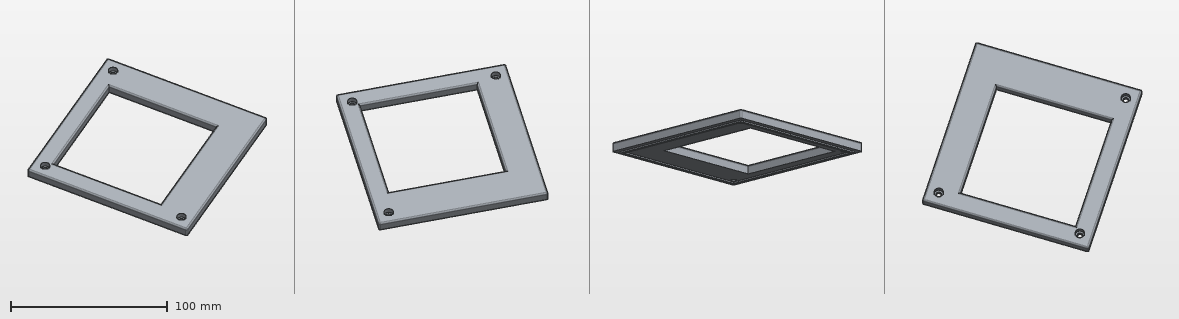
import cadquery as cq

length = 114.5
width = 111.0
height = 7.0

lip_height = 1.0
lip_inset = 3.4
lip_thickness = 2.0

edge_radius = 1.0

window_size = 77.0
window_left = 12.4
window_front = 12.5

hole_diameter = 3.4
counterbore_diameter = 6.0
counterbore_depth = 3.4
hole_inset = 8.4

window_center = (
    window_left + window_size / 2 - length / 2,
    window_front + window_size / 2 - width / 2,
)
hole_x = length / 2 - hole_inset
hole_y = width / 2 - hole_inset
hole_centers = [(-hole_x, -hole_y), (hole_x, -hole_y), (-hole_x, hole_y)]


def make_plate():
    """Plate with rounded vertical and top edges."""
    plate = cq.Workplane("XY").workplane(offset=lip_height)
    plate = plate.rect(length, width).extrude(height - lip_height)
    return plate.edges("|Z or >Z").fillet(edge_radius)


def make_lip():
    """Shallow rectangular rim under the plate, open in the middle."""
    outer_length = length - 2 * lip_inset
    outer_width = width - 2 * lip_inset
    return (
        cq.Workplane("XY")
        .rect(outer_length, outer_width)
        .rect(outer_length - 2 * lip_thickness, outer_width - 2 * lip_thickness)
        .extrude(lip_height)
    )


def cut_window(plate):
    """Cut the square window and round its top edges."""
    opening = cq.Workplane("XY").center(*window_center).rect(window_size, window_size).extrude(height)
    framed = plate.cut(opening)
    window_edges = framed.faces(">Z").val().innerWires()[0].Edges()
    return framed.newObject(window_edges).fillet(edge_radius)


result = (
    cut_window(make_plate())
    .union(make_lip())
    .faces(">Z")
    .workplane(origin=(0, 0, height))
    .pushPoints(hole_centers)
    .cboreHole(hole_diameter, counterbore_diameter, counterbore_depth)
)